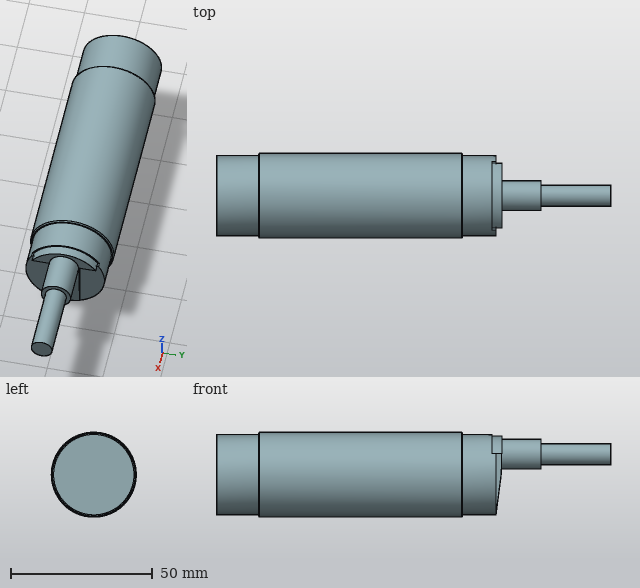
import cadquery as cq

total_length = 139.0
barrel_diameter = 30.0
end_diameter = 28.4
barrel_start = 14.7
barrel_end = 86.7
shoulder_chamfer = 0.4

cap_start = 97.2
cap_end = 98.5
lip_diameter = 27.4
lip_end = 100.6
lip_bottom = 7.5

sleeve_diameter = 10.5
sleeve_end = 114.4
cable_diameter = 7.5
cable_height = 7.2

rib_width = 10.5
rib_end = 100.4
rib_top = cable_height
rib_bottom = -13.9


def cylinder(diameter, start, end, height=0.0):
    """Cylinder parallel to X whose axis lies at the given Z."""
    profile = cq.Workplane("YZ", origin=(start, 0, height)).circle(diameter / 2)
    return profile.extrude(end - start)


def half_space(bottom, top):
    """Wide block bounded in Z, for trimming round bodies."""
    size = (total_length, 2 * barrel_diameter, top - bottom)
    return cq.Workplane("XY").box(*size, centered=(False, True, False)).translate((0, 0, bottom))


barrel = cylinder(barrel_diameter, barrel_start, barrel_end).edges().chamfer(shoulder_chamfer)
body = cylinder(end_diameter, 0, cap_start).union(barrel)

lower_cap = cylinder(end_diameter, cap_start, cap_end).intersect(half_space(-barrel_diameter, lip_bottom))
lip = cylinder(lip_diameter, cap_start, lip_end).intersect(half_space(lip_bottom, barrel_diameter))

rib = (
    cq.Workplane("XZ")
    .moveTo(cap_start, rib_bottom)
    .lineTo(cap_end, rib_bottom)
    .lineTo(rib_end, 0)
    .lineTo(rib_end, rib_top)
    .lineTo(cap_start, rib_top)
    .close()
    .extrude(rib_width / 2, both=True)
    .intersect(cylinder(end_diameter, cap_start, lip_end))
)

sleeve = cylinder(sleeve_diameter, cap_start, sleeve_end, cable_height)
cable = cylinder(cable_diameter, sleeve_end, total_length, cable_height)

result = body.union(lower_cap).union(lip).union(rib).union(sleeve).union(cable)